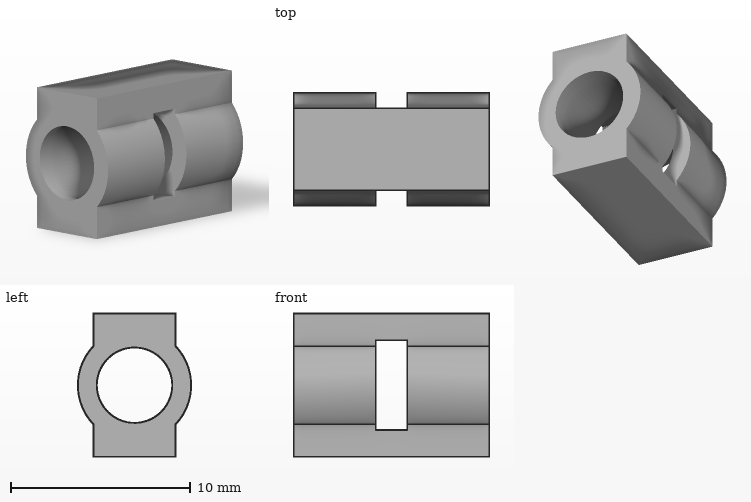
import cadquery as cq

length = 10.92
height = 8.0
block_width = 4.59

sleeve_diameter = 6.33
bore_diameter = 4.19

window_length = 1.74
window_height = 4.99


def cylinder_along_x(diameter):
    """Full-length cylinder on the X axis, centred on the origin."""
    return cq.Workplane("YZ").circle(diameter / 2).extrude(length / 2, both=True)


block = cq.Workplane("XY").box(length, block_width, height)
body = block.union(cylinder_along_x(sleeve_diameter))

window = cq.Workplane("XY").box(window_length, sleeve_diameter, window_height)

result = body.cut(cylinder_along_x(bore_diameter)).cut(window)